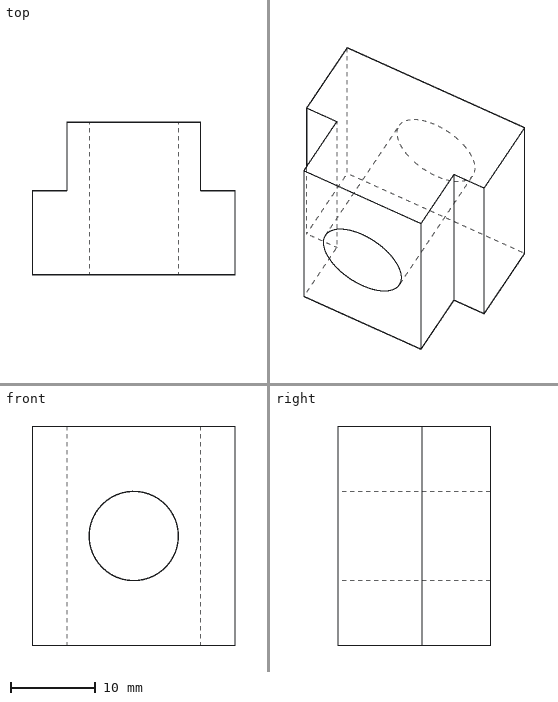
import cadquery as cq

flange_width = 23.95
total_depth = 18.03
height = 25.9

stem_width = 15.8
flange_depth = 9.95
hole_diameter = 10.52

stem_depth = total_depth - flange_depth

flange = cq.Workplane("XY").box(flange_width, flange_depth, height, centered=(True, False, True))

stem = (
    cq.Workplane("XY")
    .box(stem_width, stem_depth, height, centered=(True, False, True))
    .translate((0, flange_depth, 0))
)

hole = cq.Workplane("XZ").circle(hole_diameter / 2).extrude(-total_depth)

result = flange.union(stem).cut(hole)